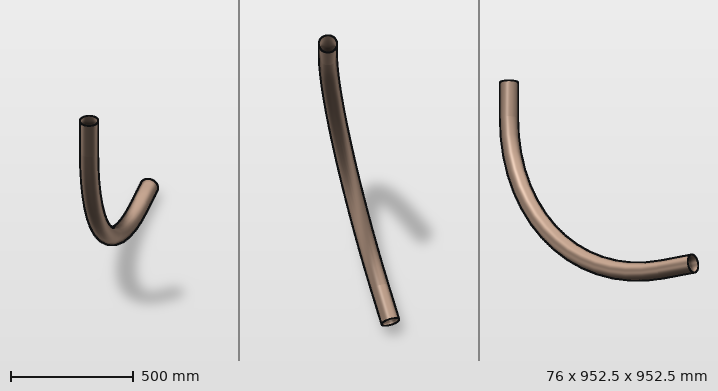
import cadquery as cq

overall_size = 952.5
outer_diameter = 76.0
inner_diameter = 73.0
straight_length = 152.0
bend_radius = overall_size - straight_length - outer_diameter / 2


def straight_end(plane):
    """Straight tube starting on the given plane and running along its normal."""
    return (
        cq.Workplane(plane)
        .circle(outer_diameter / 2)
        .circle(inner_diameter / 2)
        .extrude(straight_length)
    )


upright_plane = cq.Plane(origin=(0, -bend_radius, 0), normal=(0, 0, 1))
level_plane = cq.Plane(origin=(0, 0, -bend_radius), xDir=(1, 0, 0), normal=(0, 1, 0))

bend = (
    cq.Workplane(upright_plane)
    .circle(outer_diameter / 2)
    .circle(inner_diameter / 2)
    .revolve(90, (0, bend_radius, 0), (1, bend_radius, 0))
)

result = bend.union(straight_end(upright_plane)).union(straight_end(level_plane))